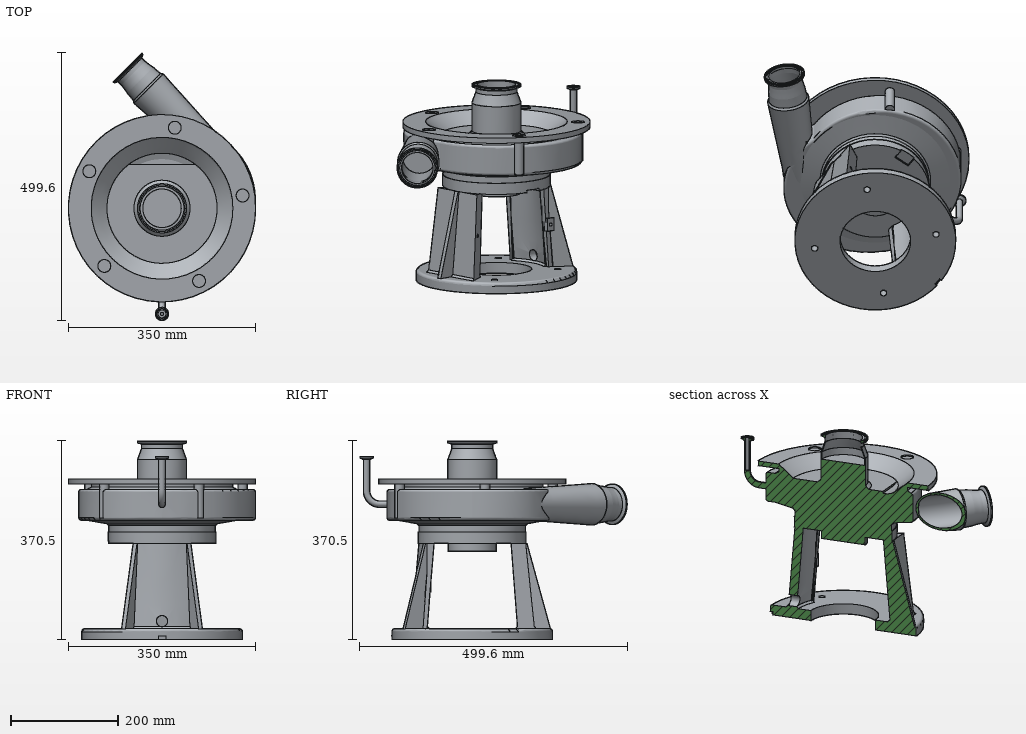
import cadquery as cq
import math

BASE_R = 150.5
BASE_T = 20.5
BASE_EDGE = 6.0
BASE_BORE_R = 66.0
BASE_BOLT_COUNT = 4
BASE_BOLT_ANGLE = 45.0
BASE_BOLT_R = 114.5
BASE_BOLT_HOLE_R = 6.0
RIM_NOTCH_W = 14.0
RIM_NOTCH_H = 6.5
RIM_NOTCH_DEPTH = 5.0

LANTERN_TOP = 180.0
FRONT_LEG_HALF_ANGLE = 29.0
REAR_LEG_HALF_ANGLE = 28.0
LEG_FOOT_FLARE = 4.0
LEG_SPLAY = 13.5
LEG_INNER_R = 82.0
LEG_OUTER_R = 100.0
REAR_LEG_FACE_Y = 100.0
REAR_LEG_SPLAY = 16.0
REAR_LEG_TRIM = 20.0
RIB_T = 8.5
RIB_OVERLAP = 5.0
EDGE_STRIP_X = 42.5
EDGE_STRIP_T = 10.0
EDGE_STRIP_Y = -71.0
EDGE_STRIP_W = 13.0
FRONT_RIB_ANGLE = 29.5
RIB_TOP_R = 102.5
RIB_FOOT_R = 148.0
DRAIN_R = 10.5
DRAIN_Z = 34.5
PAD_Z = 101.5
PAD_H = 24.5
PAD_W = 16.5
PAD_T = 5.0
FIXING_R = 3.0
FIXING_DEPTH = 7.5
FRONT_FIXING_Y = -85.5
REAR_FIXING_Y = 95.5

RING_R = 101.0
RING_SPLIT_Z = 201.0
RING_TOP_R = 100.0
RING_TOP_Z = 212.5
HUB_R = 45.0
HUB_BOTTOM_Z = 165.0
RING_NOTCH_W = 30.5
RING_NOTCH_H = 4.5
RING_NOTCH_DEPTH = 20.0

CASING_BOTTOM = 222.5
CASING_TOP = 280.5
CASING_EDGE = 5.5
VOLUTE_START_R = 144.0
VOLUTE_LEFT_R = 156.0
VOLUTE_FRONT_R = 159.5
VOLUTE_RIGHT_R = 174.0
CONE_INNER_R = 103.5
CONE_R = 140.0
CONE_BOTTOM_Z = 216.0
NECK_R = 132.5
NECK_Z = 284.5

FLANGE_DIAMETER = 350.0
FLANGE_R = FLANGE_DIAMETER / 2
FLANGE_BOTTOM = 290.0
FLANGE_TOP = 300.0
DISH_R = 132.5
DISH_EDGE = 2.5
DISH_FLOOR_R = 103.0
DISH_FLOOR_Z = 276.0
SEGMENT_Y = 82.0
SEGMENT_DEPTH = 3.5
SEGMENT_R = 91.5
LUG_COUNT = 5
LUG_START_ANGLE = 9.0
LUG_CIRCLE_R = 152.5
LUG_R = 9.0
LUG_BOTTOM = 226.5
LUG_RECESS_R = 12.0
LUG_RECESS_DEPTH = 2.5

INLET_R = 46.0
INLET_NECK_R = 38.5
INLET_WALL = 2.5
INLET_TAPER_Z = 336.0
INLET_NECK_Z = 356.5
INLET_TOP = 370.5
INLET_FLARE = 6.5
INLET_BORE_BOTTOM = 322.0
FERRULE_T = 3.0
FERRULE_BEVEL = 3.0
GROOVE_W = 2.5
GROOVE_DEPTH = 1.0
GROOVE_MARGIN = 2.5

OUTLET_Z = 252.5
OUTLET_ANGLE = 135.0
OUTLET_OFFSET = 140.5
OUTLET_ROOT_R = 29.5
OUTLET_MOUTH_R = 39.0
OUTLET_MOUTH = 176.0
OUTLET_LIP = 4.0
OUTLET_TAPER = 197.5
OUTLET_NECK = 216.0
OUTLET_END = 231.0
OUTLET_PIPE_R = 36.0
OUTLET_TAPER_R = 34.5
OUTLET_NECK_R = 31.5
OUTLET_FERRULE_R = 38.0
OUTLET_BORE_R = 29.5
OUTLET_BORE_WIDE_R = 32.0
OUTLET_BORE_START = 110.0

TUBE_DIAMETER = 12.5
TUBE_R = TUBE_DIAMETER / 2
TUBE_BORE_R = 3.0
TUBE_ROOT_Y = -150.0
TUBE_Y = -197.5
TUBE_BEND_R = 25.0
TUBE_TOP = 342.0
TUBE_FERRULE_R = 12.5


def cylinder(radius, bottom, top, x=0, y=0):
    return cq.Workplane("XY", origin=(x, y, bottom)).circle(radius).extrude(top - bottom)


def turned(points):
    """Solid of revolution about Z from (radius, height) points."""
    return cq.Workplane("XZ").polyline(points).close().revolve(360, (0, 0), (0, 1))


def base_plate():
    plate = cylinder(BASE_R, 0, BASE_T).faces(">Z").edges().fillet(BASE_EDGE)
    bolt_holes = (
        cq.Workplane("XY")
        .polarArray(BASE_BOLT_R, BASE_BOLT_ANGLE, 360, BASE_BOLT_COUNT)
        .circle(BASE_BOLT_HOLE_R)
        .extrude(BASE_T)
    )
    rim_notch = cq.Workplane("XY").box(RIM_NOTCH_W, 2 * RIM_NOTCH_DEPTH, 2 * RIM_NOTCH_H)
    rim_notch = rim_notch.translate((0, -BASE_R, 0))
    return plate.cut(cylinder(BASE_BORE_R, 0, BASE_T)).cut(bolt_holes).cut(rim_notch)


def leg_wall(direction, half_angle, outer_top_r, outer_foot_r):
    """Curved wall, splayed outward to the foot, centred on a direction in degrees."""
    inner_foot_r = LEG_INNER_R + LEG_SPLAY
    flare_z = BASE_T + LEG_FOOT_FLARE
    points = [
        (LEG_INNER_R, LANTERN_TOP),
        (outer_top_r, LANTERN_TOP),
        (outer_foot_r, flare_z),
        (outer_foot_r + LEG_FOOT_FLARE, BASE_T),
        (inner_foot_r - LEG_FOOT_FLARE, BASE_T),
        (inner_foot_r, flare_z),
    ]
    wall = cq.Workplane("XZ").polyline(points).close()
    wall = wall.revolve(2 * half_angle, (0, 0), (0, -1))
    middle = wall.val().Center()
    built_direction = math.degrees(math.atan2(middle.y, middle.x))
    return wall.rotate((0, 0, 0), (0, 0, 1), direction - built_direction)


def rib(direction):
    """Triangular radial rib against the outside of a leg."""
    inner_r = LEG_OUTER_R - RIB_OVERLAP
    points = [
        (inner_r, LANTERN_TOP),
        (RIB_TOP_R, LANTERN_TOP),
        (RIB_FOOT_R, BASE_T - BASE_EDGE),
        (inner_r + LEG_SPLAY, BASE_T - BASE_EDGE),
    ]
    plate = cq.Workplane("XZ").polyline(points).close().extrude(RIB_T / 2, both=True)
    return plate.rotate((0, 0, 0), (0, 0, 1), direction)


def edge_strip():
    """Sloping strip that thickens one side edge of the front leg, on +X."""
    foot_y = EDGE_STRIP_Y - LEG_SPLAY
    points = [
        (EDGE_STRIP_Y, LANTERN_TOP),
        (EDGE_STRIP_Y - EDGE_STRIP_W, LANTERN_TOP),
        (foot_y - EDGE_STRIP_W, BASE_T),
        (foot_y, BASE_T),
    ]
    return cq.Workplane("YZ", origin=(EDGE_STRIP_X, 0, 0)).polyline(points).close().extrude(EDGE_STRIP_T)


def fixing_hole(x, y):
    """Small blind hole along X, centred on the surface point of a leg side."""
    return cq.Workplane("YZ", origin=(x, y, PAD_Z)).circle(FIXING_R).extrude(FIXING_DEPTH, both=True)


def front_leg():
    leg = leg_wall(270, FRONT_LEG_HALF_ANGLE, LEG_OUTER_R, LEG_OUTER_R + LEG_SPLAY)
    for side in (-1, 1):
        leg = leg.union(rib(270 + side * FRONT_RIB_ANGLE))
    leg = leg.union(edge_strip()).union(edge_strip().mirror("YZ"))
    pad_x = -EDGE_STRIP_X - EDGE_STRIP_T
    pad = cq.Workplane("XY").box(2 * PAD_T, PAD_W, PAD_H).translate((pad_x, FRONT_FIXING_Y, PAD_Z))
    drain = cq.Workplane("XZ", origin=(0, 0, DRAIN_Z)).circle(DRAIN_R).extrude(BASE_R)
    fixing_x = pad_x - PAD_T
    return leg.union(pad).cut(drain).cut(fixing_hole(fixing_x, FRONT_FIXING_Y))


def rear_leg():
    oversize = LEG_OUTER_R + REAR_LEG_TRIM
    wall = leg_wall(90, REAR_LEG_HALF_ANGLE, oversize, oversize + REAR_LEG_SPLAY)
    foot_y = REAR_LEG_FACE_Y + REAR_LEG_SPLAY
    trim_points = [
        (0, LANTERN_TOP),
        (REAR_LEG_FACE_Y, LANTERN_TOP),
        (foot_y, BASE_T + LEG_FOOT_FLARE),
        (foot_y + LEG_FOOT_FLARE, BASE_T),
        (0, BASE_T),
    ]
    trim = cq.Workplane("YZ").polyline(trim_points).close().extrude(BASE_R, both=True)
    fixing_x = -REAR_FIXING_Y * math.tan(math.radians(REAR_LEG_HALF_ANGLE))
    return wall.intersect(trim).union(rib(90)).cut(fixing_hole(fixing_x, REAR_FIXING_Y))


def bearing_ring():
    ring = cylinder(RING_R, LANTERN_TOP, RING_SPLIT_Z)
    ring = ring.union(cylinder(RING_TOP_R, RING_SPLIT_Z, RING_TOP_Z))
    notch = cq.Workplane("XY").box(2 * RING_NOTCH_DEPTH, RING_NOTCH_W, 2 * RING_NOTCH_H)
    ring = ring.cut(notch.translate((-RING_R, 0, LANTERN_TOP)))
    return ring.union(cylinder(HUB_R, HUB_BOTTOM_Z, RING_TOP_Z))


def casing():
    volute = (
        cq.Workplane("XY", origin=(0, 0, CASING_BOTTOM))
        .moveTo(0, VOLUTE_START_R)
        .threePointArc((-VOLUTE_LEFT_R, (VOLUTE_START_R - VOLUTE_FRONT_R) / 2), (0, -VOLUTE_FRONT_R))
        .tangentArcPoint((VOLUTE_RIGHT_R, 0), relative=False)
        .tangentArcPoint((0, VOLUTE_START_R), relative=False)
        .close()
        .extrude(CASING_TOP - CASING_BOTTOM)
    )
    volute = volute.faces("<Z or >Z").edges().fillet(CASING_EDGE)
    cones = turned([
        (0, RING_TOP_Z),
        (RING_TOP_R, RING_TOP_Z),
        (CONE_INNER_R, CONE_BOTTOM_Z),
        (CONE_R, CASING_BOTTOM),
        (CONE_R, CASING_TOP),
        (NECK_R, NECK_Z),
        (NECK_R, FLANGE_BOTTOM),
        (0, FLANGE_BOTTOM),
    ])
    return volute.union(cones)


def lug_places():
    step = 360 / LUG_COUNT
    for number in range(LUG_COUNT):
        angle = math.radians(LUG_START_ANGLE + number * step)
        yield LUG_CIRCLE_R * math.cos(angle), LUG_CIRCLE_R * math.sin(angle)


def cover():
    flange = cylinder(FLANGE_R, FLANGE_BOTTOM, FLANGE_TOP)
    for x, y in lug_places():
        flange = flange.union(cylinder(LUG_R, LUG_BOTTOM, FLANGE_BOTTOM, x, y))
        flange = flange.cut(cylinder(LUG_RECESS_R, FLANGE_TOP - LUG_RECESS_DEPTH, FLANGE_TOP, x, y))
    return flange


def dish():
    """Conical hollow of the cover, with a deeper segment at the back of its floor."""
    hollow = turned([
        (0, DISH_FLOOR_Z),
        (DISH_FLOOR_R, DISH_FLOOR_Z),
        (DISH_R - DISH_EDGE, FLANGE_TOP - DISH_EDGE),
        (DISH_R, FLANGE_TOP),
        (0, FLANGE_TOP),
    ])
    sunk_z = DISH_FLOOR_Z - SEGMENT_DEPTH
    sunk = turned([(0, sunk_z), (SEGMENT_R, sunk_z), (DISH_FLOOR_R, DISH_FLOOR_Z), (0, DISH_FLOOR_Z)])
    back = cq.Workplane("XY").box(2 * DISH_R, DISH_R, FLANGE_TOP, centered=(True, False, False))
    return hollow.union(sunk.intersect(back.translate((0, SEGMENT_Y, 0))))


def seal_groove(ferrule_r, face_z):
    outer_r = ferrule_r - GROOVE_MARGIN
    ring = cq.Workplane("XY", origin=(0, 0, face_z - GROOVE_DEPTH))
    return ring.circle(outer_r).circle(outer_r - GROOVE_W).extrude(GROOVE_DEPTH)


def inlet():
    ferrule_z = INLET_TOP - FERRULE_T
    pipe = turned([
        (0, DISH_FLOOR_Z),
        (INLET_R + INLET_FLARE, DISH_FLOOR_Z),
        (INLET_R, DISH_FLOOR_Z + INLET_FLARE),
        (INLET_R, INLET_TAPER_Z),
        (INLET_NECK_R, INLET_NECK_Z),
        (INLET_NECK_R, ferrule_z - FERRULE_BEVEL),
        (INLET_R, ferrule_z),
        (INLET_R, INLET_TOP),
        (0, INLET_TOP),
    ])
    return pipe.cut(seal_groove(INLET_R, INLET_TOP))


def inlet_bore():
    wide_r = INLET_R - INLET_WALL
    neck_r = INLET_NECK_R - INLET_WALL
    return turned([
        (0, INLET_BORE_BOTTOM),
        (wide_r, INLET_BORE_BOTTOM),
        (wide_r, INLET_TAPER_Z),
        (neck_r, INLET_NECK_Z),
        (neck_r, INLET_TOP),
        (0, INLET_TOP),
    ])


def along_outlet(shape):
    """Lay a shape turned about Z onto the outlet axis."""
    laid = shape.rotate((0, 0, 0), (0, 1, 0), 90).translate((0, -OUTLET_OFFSET, OUTLET_Z))
    return laid.rotate((0, 0, 0), (0, 0, 1), OUTLET_ANGLE)


def outlet():
    ferrule = OUTLET_END - FERRULE_T
    pipe = turned([
        (0, 0),
        (OUTLET_ROOT_R, 0),
        (OUTLET_MOUTH_R, OUTLET_MOUTH),
        (OUTLET_PIPE_R, OUTLET_MOUTH + OUTLET_LIP),
        (OUTLET_TAPER_R, OUTLET_TAPER),
        (OUTLET_NECK_R, OUTLET_NECK),
        (OUTLET_NECK_R, ferrule - FERRULE_BEVEL),
        (OUTLET_FERRULE_R, ferrule),
        (OUTLET_FERRULE_R, OUTLET_END),
        (0, OUTLET_END),
    ])
    return along_outlet(pipe.cut(seal_groove(OUTLET_FERRULE_R, OUTLET_END)))


def outlet_bore():
    return along_outlet(turned([
        (0, OUTLET_BORE_START),
        (OUTLET_BORE_WIDE_R, OUTLET_BORE_START),
        (OUTLET_BORE_WIDE_R, OUTLET_TAPER),
        (OUTLET_BORE_R, OUTLET_NECK),
        (OUTLET_BORE_R, OUTLET_END),
        (0, OUTLET_END),
    ]))


def drain_tube():
    bend_y = TUBE_Y + TUBE_BEND_R
    bend_mid = TUBE_BEND_R * (1 - math.sqrt(0.5))
    path = (
        cq.Workplane("YZ")
        .moveTo(TUBE_ROOT_Y, OUTLET_Z)
        .lineTo(bend_y, OUTLET_Z)
        .threePointArc((TUBE_Y + bend_mid, OUTLET_Z + bend_mid), (TUBE_Y, OUTLET_Z + TUBE_BEND_R))
        .lineTo(TUBE_Y, TUBE_TOP)
    )
    tube = cq.Workplane("XZ", origin=(0, TUBE_ROOT_Y, OUTLET_Z)).circle(TUBE_R).sweep(path)
    ferrule = turned([
        (0, TUBE_TOP - FERRULE_T - FERRULE_BEVEL),
        (TUBE_R, TUBE_TOP - FERRULE_T - FERRULE_BEVEL),
        (TUBE_FERRULE_R, TUBE_TOP - FERRULE_T),
        (TUBE_FERRULE_R, TUBE_TOP),
        (0, TUBE_TOP),
    ]).cut(seal_groove(TUBE_FERRULE_R, TUBE_TOP)).translate((0, TUBE_Y, 0))
    bore = cylinder(TUBE_BORE_R, OUTLET_Z + TUBE_BEND_R, TUBE_TOP, 0, TUBE_Y)
    return tube.union(ferrule).cut(bore)


stand = base_plate().union(front_leg()).union(rear_leg()).union(bearing_ring())
pump = casing().union(outlet()).union(cover()).cut(dish()).union(inlet()).union(drain_tube())
result = stand.union(pump).cut(inlet_bore()).cut(outlet_bore())